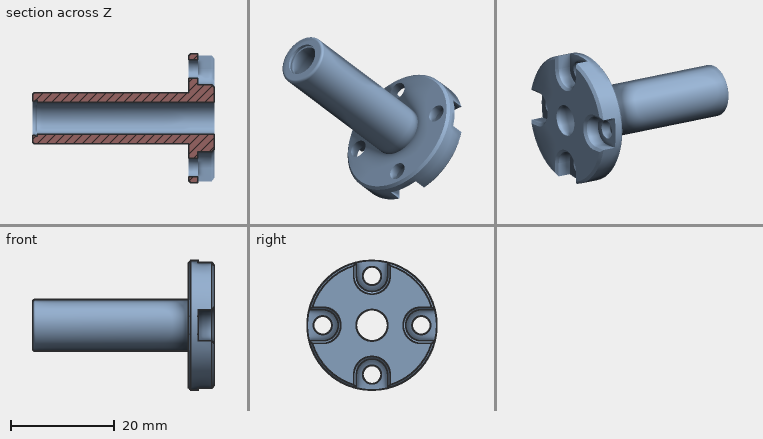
import cadquery as cq

overall_length = 35.0

tube_diameter = 10.0
tube_end_radius = 0.5
bore_diameter = 6.0

mouth_diameter = 6.4
groove_diameter = 6.8
mouth_length = 0.5
groove_width = 0.3

flange_diameter = 25.0
flange_thickness = 5.0
flange_chamfer = 0.5
flange_start = overall_length - flange_thickness

hole_count = 4
hole_circle_radius = 9.5
hole_diameter = 3.5
slot_width = 6.0
slot_depth = 3.1
slot_start = overall_length - slot_depth


def x_cylinder(diameter, start, length, y=0.0):
    """Cylinder parallel to X, beginning at x = start."""
    return (
        cq.Workplane("YZ", origin=(start, y, 0))
        .circle(diameter / 2)
        .extrude(length)
    )


def make_body():
    """Tube with a rounded free end, joined to a flange chamfered on its tube-side rim."""
    tube = x_cylinder(tube_diameter, 0, overall_length)
    tube = tube.faces("<X").edges().fillet(tube_end_radius)
    flange = x_cylinder(flange_diameter, flange_start, flange_thickness)
    flange = flange.faces("<X").edges().chamfer(flange_chamfer)
    return tube.union(flange)


def make_bore():
    """Through bore with a slightly wider mouth and a groove behind it."""
    bore = x_cylinder(bore_diameter, 0, overall_length)
    mouth = x_cylinder(mouth_diameter, 0, mouth_length)
    groove = x_cylinder(groove_diameter, mouth_length, groove_width)
    return bore.union(mouth).union(groove)


def make_mounting_cut(angle):
    """Screw hole and its U-shaped head slot, turned about X by the angle."""
    hole = x_cylinder(hole_diameter, flange_start, flange_thickness, hole_circle_radius)
    slot_end = x_cylinder(slot_width, slot_start, slot_depth, hole_circle_radius)
    slot_length = flange_diameter / 2 - hole_circle_radius
    slot_run = (
        cq.Workplane("XY", origin=(slot_start, hole_circle_radius, 0))
        .box(slot_depth, slot_length, slot_width, centered=(False, False, True))
    )
    cut = hole.union(slot_end).union(slot_run)
    return cut.rotate((0, 0, 0), (1, 0, 0), angle)


def chamfer_end_outline(part):
    """Chamfer the scalloped outline of the end face, along the rim and around the slots."""
    outline = part.faces(">X").val().outerWire()
    return part.newObject(outline.Edges()).chamfer(flange_chamfer)


result = make_body()
for index in range(hole_count):
    result = result.cut(make_mounting_cut(index * 360.0 / hole_count))

result = chamfer_end_outline(result)
result = result.cut(make_bore())